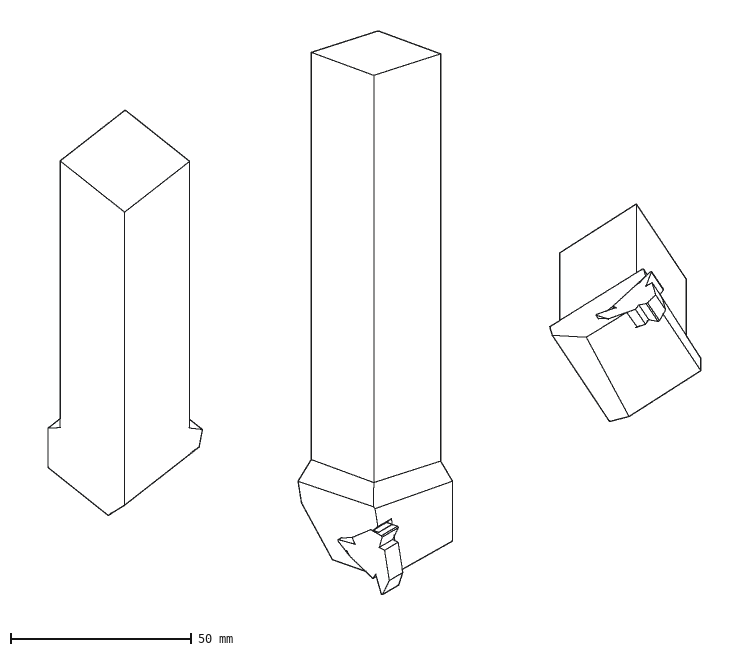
import cadquery as cq
import math


length = 152.1
shank = 25.4
head_left = 5.3
head_back = 5.0
neck_z = 32.0
flare_drop = 5.2
bevel_z = 20.1
bevel_run = 5.9
bevel_drop = 9.6
bottom_z = 9.6
bottom_tilt = 10
rake_tilt = 11
yaw = 1
oversize = 91.3

insert_x = 0
insert_z = 10.8
insert_thickness = 5.3
edge_offset = 6.5
edge_top = 3.5
edge_bottom = -6.1
tooth_z = -10.8
crest_left = (-4.0, tooth_z)
crest_right = (-3.5, tooth_z)
tooth_end = (-1.0, -5.8)
tooth_rise = 1.0
tooth_count = 3

relief_height = 1.8
relief_depth = 2.3
upper_tooth = 2


def make_rake_plane():
    """Plane of the head's back face, normal pointing into the head."""
    tilt = math.radians(rake_tilt)
    twist = math.radians(yaw)
    x_dir = (math.cos(twist), math.sin(twist), 0)
    normal = (math.sin(twist) * math.cos(tilt), -math.cos(twist) * math.cos(tilt), math.sin(tilt))
    at_right = cq.Plane((shank, shank + head_back, neck_z - flare_drop), x_dir, normal)
    dx = insert_x - shank
    dz = insert_z - at_right.origin.z
    dy = dx * math.tan(twist) + dz * math.tan(tilt) / math.cos(twist)
    return cq.Plane((insert_x, at_right.origin.y + dy, insert_z), x_dir, normal)


rake_plane = make_rake_plane()


def turned(point, index):
    """Rotate a point of the insert outline to the given tooth position."""
    angle = 2 * math.pi * index / tooth_count
    u, v = point
    return (u * math.cos(angle) - v * math.sin(angle), u * math.sin(angle) + v * math.cos(angle))


def insert_outline(notched):
    """Closed insert outline, with or without the notches behind the teeth."""
    corner = [(-edge_offset, edge_top), (-edge_offset, edge_bottom), crest_left, crest_right]
    if notched:
        corner.append(tooth_end)
    points = [turned(point, i) for i in range(tooth_count) for point in corner]
    return cq.Workplane(rake_plane).polyline(points).close()


def make_tooth_ramp(index):
    """Wedge that rises from the root of a tooth to its tip, behind the back face."""
    root = (-edge_offset, edge_bottom)
    tooth = [turned(point, index) for point in (root, crest_left, crest_right, tooth_end)]
    prism = cq.Workplane(rake_plane).polyline(tooth).close().extrude(-tooth_rise)
    ramp_plane = cq.Plane(rake_plane.origin, rake_plane.yDir, rake_plane.xDir)
    ramp = (
        cq.Workplane(ramp_plane)
        .polyline([(edge_bottom, 0), (tooth_z, 0), (tooth_z, -tooth_rise)])
        .close()
        .extrude(edge_offset, both=True)
    )
    centre = rake_plane.origin
    axis_end = centre + rake_plane.zDir
    ramp = ramp.rotate(centre.toTuple(), axis_end.toTuple(), 360 * index / tooth_count)
    return prism.intersect(ramp)


def make_insert():
    insert = insert_outline(notched=True).extrude(insert_thickness)
    for index in range(tooth_count):
        insert = insert.union(make_tooth_ramp(index))
    return insert


def make_pocket_relief():
    """Triangular clearance that opens the pocket above the upper tooth."""
    wall_x = -head_left - insert_x
    tooth_top = turned(crest_left, upper_tooth)[1]
    relief = (
        cq.Workplane(rake_plane)
        .polyline([
            (wall_x, tooth_top),
            (wall_x, tooth_top + relief_height),
            (wall_x + relief_depth, tooth_top),
        ])
        .close()
    )
    return relief.extrude(insert_thickness)


def make_holder():
    depth = shank + head_back
    bevel_end_x = shank - bevel_run * bevel_z / bevel_drop
    front_outline = [
        (0, length),
        (shank, length),
        (shank, bevel_z),
        (bevel_end_x, 0),
        (-head_left, 0),
        (-head_left, neck_z - flare_drop),
        (0, neck_z),
    ]
    side_outline = [
        (0, length),
        (0, bottom_z),
        (depth, bottom_z - depth * math.tan(math.radians(bottom_tilt))),
        (depth, neck_z - flare_drop),
        (shank, neck_z),
        (shank, length),
    ]
    holder = cq.Workplane("XZ").polyline(front_outline).close().extrude(-depth)
    side = cq.Workplane("YZ").workplane(offset=-head_left).polyline(side_outline).close()
    holder = holder.intersect(side.extrude(head_left + shank))

    back_trim = cq.Workplane(rake_plane).rect(oversize, oversize).extrude(-oversize)
    left_trim = (
        cq.Workplane("XY")
        .box(oversize, oversize, length, centered=(True, True, False))
        .translate((-oversize / 2, 0, 0))
        .rotate((0, 0, 0), (0, 0, 1), yaw)
        .translate((-head_left, depth, 0))
    )
    holder = holder.cut(back_trim).cut(left_trim)

    pocket = insert_outline(notched=False).extrude(insert_thickness)
    return holder.cut(pocket).cut(make_pocket_relief())


insert = make_insert()
holder = make_holder()
result = cq.Compound.makeCompound([holder.val(), insert.val()])